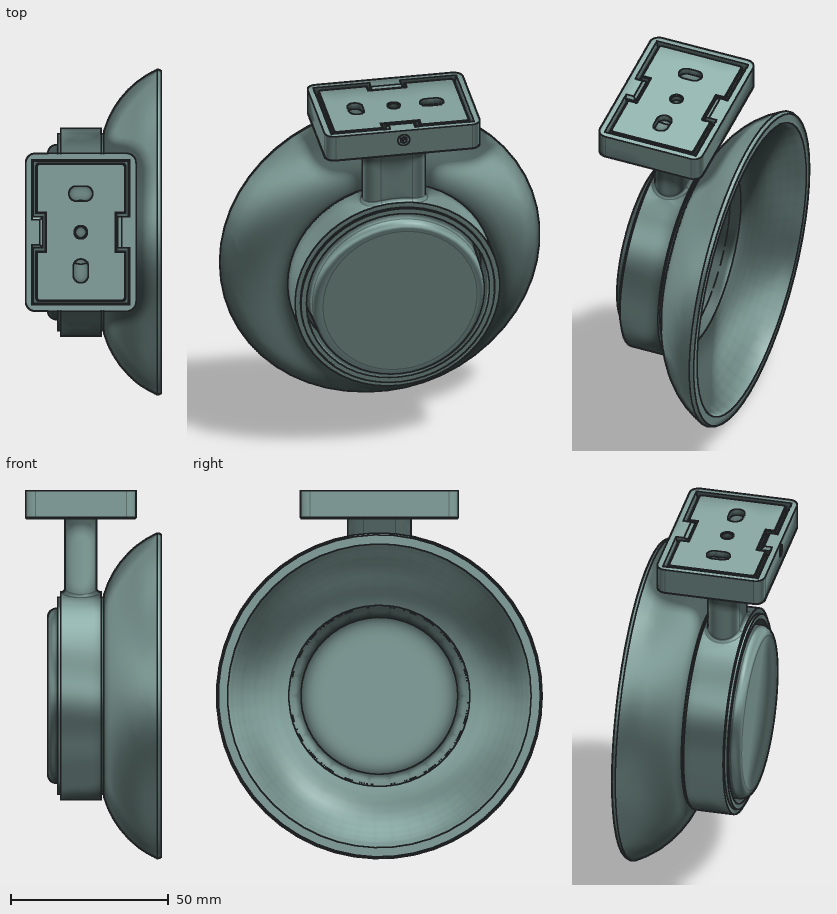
import cadquery as cq
import math

DIAGONAL = math.sqrt(0.5)


dish_diameter = 103.1
dish_radius = dish_diameter / 2
dish_foot_x = -10.5
dish_rim_x = 25.5
rim_band = 1.3
rim_drop = 0.6
foot_flat_radius = 24.8
foot_round = 2.9
foot_edge_x = dish_foot_x + foot_round
foot_edge_radius = foot_flat_radius + foot_round
bowl_mid_x = 12.4
bowl_mid_radius = 42.1
neck_end_radius = 28.2
shoulder_radius = 32.2
dish_wall = 3.5

ring_radius = 33.0
ring_half_width = 6.4
ring_bore_radius = 31.2
liner_bore_radius = 29.5
liner_half_length = 7.3
arm_thickness = 10.0
arm_width = 20.2
arm_fillet = 1.0

overall_height = 116.5
mount_top_z = overall_height - dish_radius
cover_height = 8.9
cover_length = 50.0
cover_width = 35.0
cover_corner = 3.0
cover_edge_chamfer = 0.3
cover_rim = 2.0
cavity_depth = 2.5
cavity_draft = 0.5
cavity_floor_z = mount_top_z - cavity_depth
cover_bottom_z = mount_top_z - cover_height

tab_end_x = 12.9
tab_half_width = 4.9
tab_slope_run = 1.3
tab_slope_drop = 0.5
screw_tab_chamfer = 0.9

plate_thickness = 2.2
plate_length = 43.8
plate_width = 28.4
plate_corner = 1.2
plate_chamfer = 0.3
notch_floor_x = 11.3
notch_half_width = 6.0
slot_length = 7.6
slot_width = 4.8
slot_offset = 12.2
pilot_diameter = 3.5
pilot_chamfer = 0.3

screw_diameter = 3.8
screw_length = 4.4
screw_socket_flats = 1.9
screw_socket_depth = 1.7
screw_depth_below_top = 3.4
screw_z = mount_top_z - screw_depth_below_top


def x_cylinder(radius, x_start, x_end):
    return cq.Workplane("YZ", origin=(x_start, 0, 0)).circle(radius).extrude(x_end - x_start)


def make_dish():
    """Open bowl revolved about X; its foot passes through the liner."""
    bowl_inner_x = dish_foot_x + dish_wall
    outside = (
        cq.Workplane("XY")
        .moveTo(dish_foot_x, 0)
        .lineTo(dish_foot_x, foot_flat_radius)
        .threePointArc(
            (foot_edge_x - foot_round * DIAGONAL, foot_flat_radius + foot_round * DIAGONAL),
            (foot_edge_x, foot_edge_radius),
        )
        .lineTo(liner_half_length, neck_end_radius)
        .lineTo(liner_half_length, shoulder_radius)
        .threePointArc((bowl_mid_x, bowl_mid_radius), (dish_rim_x - rim_band, dish_radius))
        .threePointArc(
            (dish_rim_x - rim_band / 2, dish_radius - rim_drop / 4),
            (dish_rim_x, dish_radius - rim_drop),
        )
        .lineTo(dish_rim_x, 0)
        .close()
        .revolve(360, (0, 0, 0), (1, 0, 0))
    )
    inside = (
        cq.Workplane("XY")
        .moveTo(bowl_inner_x, 0)
        .lineTo(bowl_inner_x, foot_flat_radius)
        .lineTo(liner_half_length + dish_wall, shoulder_radius - dish_wall)
        .threePointArc(
            (bowl_mid_x + dish_wall * DIAGONAL, bowl_mid_radius - dish_wall * DIAGONAL),
            (dish_rim_x, dish_radius - dish_wall),
        )
        .lineTo(dish_rim_x, 0)
        .close()
        .revolve(360, (0, 0, 0), (1, 0, 0))
    )
    return outside.cut(inside)


def make_liner():
    """Sleeve between the ring and the dish, standing proud of the ring at both ends."""
    return x_cylinder(ring_bore_radius, -liner_half_length, liner_half_length).cut(
        x_cylinder(liner_bore_radius, -liner_half_length, liner_half_length)
    )


def make_holder():
    """Ring with its arm, which ends on the floor of the mount cover."""
    ring = x_cylinder(ring_radius, -ring_half_width, ring_half_width)
    arm = (
        cq.Workplane("XY")
        .slot2D(arm_width, arm_thickness, 90)
        .extrude(cavity_floor_z)
    )
    holder = ring.union(arm)
    joint_edges = cq.selectors.BoxSelector(
        (-ring_half_width, -arm_width, liner_bore_radius),
        (ring_half_width, arm_width, ring_radius + arm_fillet),
    )
    holder = holder.edges(joint_edges).fillet(arm_fillet)
    return holder.cut(x_cylinder(ring_bore_radius, -ring_half_width, ring_half_width))


def screw_cylinder():
    return (
        cq.Workplane("YZ", origin=(-cover_width / 2, 0, screw_z))
        .circle(screw_diameter / 2)
        .extrude(screw_length)
    )


def make_plain_tab():
    """Tab on the +X wall whose end slopes gently down from its top edge."""
    slope_x = tab_end_x - tab_slope_run
    outline = [
        (cover_width / 2, cavity_floor_z),
        (slope_x, cavity_floor_z),
        (slope_x, mount_top_z - tab_slope_drop),
        (tab_end_x, mount_top_z),
        (cover_width / 2, mount_top_z),
    ]
    return cq.Workplane("XZ").polyline(outline).close().extrude(tab_half_width, both=True)


def make_screw_tab():
    """Tab on the -X wall, around the set screw, chamfered along its end and both sides."""
    inner_x = screw_tab_chamfer - tab_end_x
    length = cover_width / 2 + inner_x
    return (
        cq.Workplane("XY", origin=(inner_x - length / 2, 0, cavity_floor_z))
        .rect(length, 2 * tab_half_width)
        .extrude(cavity_depth)
        .faces(">Z")
        .edges("not <X")
        .chamfer(screw_tab_chamfer)
    )


def make_cover():
    """Shallow tray with a drafted cavity, a tab on each long wall and a seat for the arm."""
    body = (
        cq.Workplane("XY", origin=(0, 0, cover_bottom_z))
        .rect(cover_width, cover_length)
        .extrude(cover_height)
        .edges("|Z")
        .fillet(cover_corner)
        .faces("<Z")
        .edges()
        .chamfer(cover_edge_chamfer)
    )
    cavity_width = cover_width - 2 * cover_rim
    cavity_length = cover_length - 2 * cover_rim
    cavity = (
        cq.Workplane("XY", origin=(0, 0, mount_top_z))
        .rect(cavity_width, cavity_length)
        .workplane(offset=-cavity_depth)
        .rect(cavity_width - 2 * cavity_draft, cavity_length - 2 * cavity_draft)
        .loft()
    )
    cavity = cavity.cut(make_plain_tab()).cut(make_screw_tab())
    arm_hole = (
        cq.Workplane("XY", origin=(0, 0, cover_bottom_z))
        .slot2D(arm_width, arm_thickness, 90)
        .extrude(cover_height)
    )
    return body.cut(cavity).cut(arm_hole).cut(screw_cylinder())


def make_set_screw():
    """Headless screw with a hexagon socket, flush with the -X wall of the cover."""
    corner_diameter = screw_socket_flats * 2 / math.sqrt(3)
    socket = (
        cq.Workplane("YZ", origin=(-cover_width / 2, 0, screw_z))
        .transformed(rotate=(0, 0, 90))
        .polygon(6, corner_diameter)
        .extrude(screw_socket_depth)
    )
    return screw_cylinder().cut(socket)


def make_wall_plate():
    """Plate on the cavity floor with two crossed slots, a pilot hole and a notch for each tab."""
    plate = (
        cq.Workplane("XY", origin=(0, 0, cavity_floor_z))
        .rect(plate_width, plate_length)
        .extrude(plate_thickness)
        .edges("|Z")
        .fillet(plate_corner)
    )
    notch_depth = plate_width / 2 - notch_floor_x
    for side in (-1, 1):
        notch = (
            cq.Workplane("XY", origin=(side * (notch_floor_x + notch_depth / 2), 0, cavity_floor_z))
            .rect(notch_depth, 2 * notch_half_width)
            .extrude(plate_thickness)
        )
        plate = plate.cut(notch)
    plate = plate.faces(">Z").edges().chamfer(plate_chamfer)
    for offset, angle in ((slot_offset, 0), (-slot_offset, 90)):
        slot = (
            cq.Workplane("XY", origin=(0, offset, cavity_floor_z))
            .slot2D(slot_length, slot_width, angle)
            .extrude(plate_thickness)
        )
        plate = plate.cut(slot)
    pilot = (
        cq.Workplane("XY", origin=(0, 0, cavity_floor_z))
        .circle(pilot_diameter / 2)
        .extrude(plate_thickness)
        .faces(">Z")
        .workplane()
        .circle(pilot_diameter / 2 + pilot_chamfer)
        .extrude(-pilot_chamfer, taper=45)
    )
    return plate.cut(pilot)


dish = make_dish()
liner = make_liner()
holder = make_holder()
cover = make_cover()
wall_plate = make_wall_plate()
set_screw = make_set_screw()

result = cq.Compound.makeCompound(
    [dish.val(), liner.val(), holder.val(), cover.val(), wall_plate.val(), set_screw.val()]
)